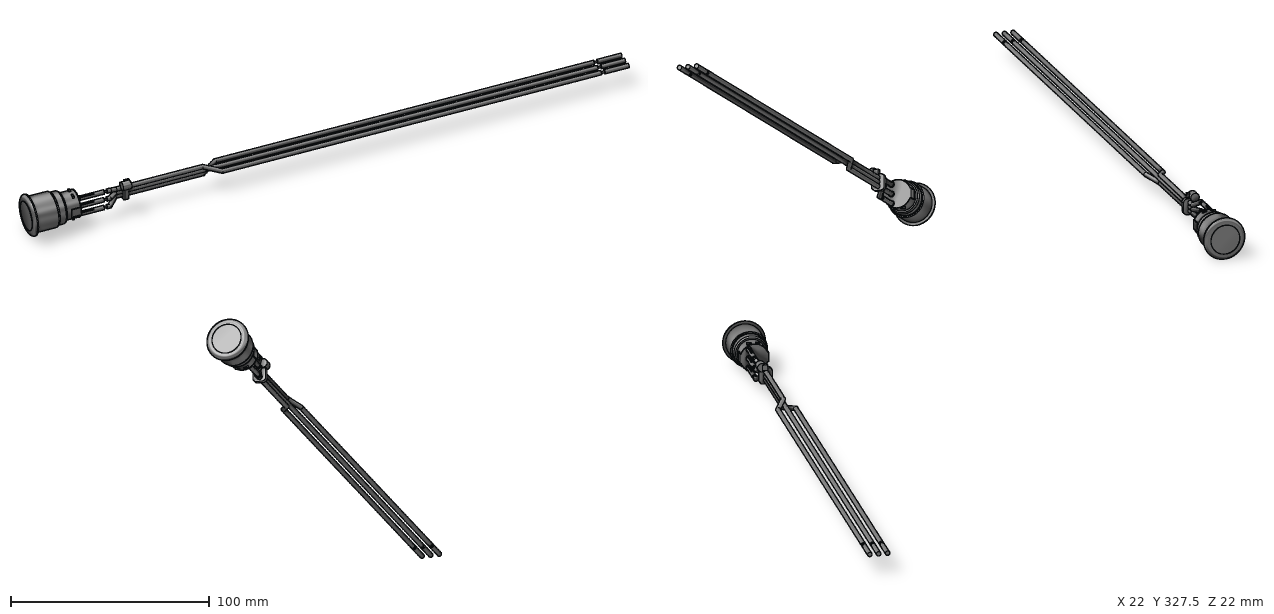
import cadquery as cq
import math

total_length = 327.5

flange_diameter = 22.0
flange_thickness = 2.3
bezel_diameter = 17.5
rim_width = 0.5
lens_diameter = 15.5
lens_height = 0.3
barrel_diameter = 19.0
barrel_end = 14.0
collar_diameter = 17.7
collar_end = 15.0
shoulder_diameter = 17.5
shoulder_end = 19.3
shoulder_bevel_length = 1.0
shoulder_bevel_depth = 0.5
rear_diameter = 14.5
lip_diameter = 14.7
lip_thickness = 0.3
rear_end = 27.2

tab_width = 5.0
tab_start = 22.0
tab_reach = 7.37
key_width = 2.3
key_length = 1.0
key_spacing = 4.5
key_y = 24.5
key_reach = 7.37

terminal_x = 3.0
terminal_pitch = 5.0
terminal_end = 41.3
boss_diameter = 3.0
boss_height = 0.5
groove_width = 1.0
groove_depth = 0.5
groove_end = 35.7

wire_diameter = 2.4
conductor_diameter = 1.1
insulation_start = 43.0
splay_start = 44.5
splay_end = 48.8
bundle_pitch = 2.2
fan_start = 96.5
fan_end = 105.5
fan_pitch = 4.5
strip_start = 312.5
strip_end = 314.5
conductor_overlap = 0.5

tie_y = 53.7
strap_width = 2.3
strap_size_x = 7.0
strap_size_z = 8.5
strap_corner = 2.0
head_diameter = 4.5
head_length = 4.5
head_x = 2.3
head_z = 5.0
tail_width = 2.5
tail_height = 3.0
tail_x = 0.5
tail_end = 56.3


def rod(diameter, start, end, x=0.0, z=0.0):
    """Round rod parallel to Y between two Y positions."""
    plane = cq.Plane(origin=(x, start, z), xDir=(1, 0, 0), normal=(0, 1, 0))
    return cq.Workplane(plane).circle(diameter / 2).extrude(end - start)


def block(size, center):
    """Box with its size and center given along X, Y and Z."""
    return cq.Workplane("XY").box(*size).translate(center)


def make_flange():
    """Flange with a rounded front rim around a slightly proud round lens."""
    outer = flange_diameter / 2
    inner = bezel_diameter / 2
    rim_start = flange_thickness - rim_width
    diagonal = math.sqrt(0.5)
    rim_drop = rim_start - lens_height
    arc_middle = (inner + diagonal * (outer - inner), rim_start - diagonal * rim_drop)
    profile = (
        cq.Workplane("XY")
        .moveTo(0, lens_height)
        .lineTo(inner, lens_height)
        .threePointArc(arc_middle, (outer, rim_start))
        .lineTo(outer, flange_thickness)
        .lineTo(0, flange_thickness)
        .close()
    )
    flange = profile.revolve(360, (0, 0, 0), (0, 1, 0))
    return flange.union(rod(lens_diameter, 0, flange_thickness))


def make_body():
    shoulder = rod(shoulder_diameter, collar_end, shoulder_end)
    shoulder = shoulder.faces(">Y").chamfer(shoulder_bevel_length, shoulder_bevel_depth)
    body = (
        make_flange()
        .union(rod(barrel_diameter, flange_thickness, barrel_end))
        .union(rod(collar_diameter, barrel_end, collar_end))
        .union(shoulder)
        .union(rod(rear_diameter, shoulder_end, rear_end))
        .union(rod(lip_diameter, rear_end - lip_thickness, rear_end))
    )
    tab_length = rear_end - tab_start
    tabs = block((2 * tab_reach, tab_length, tab_width), (0, tab_start + tab_length / 2, 0))
    body = body.union(tabs)
    for side in (-1, 1):
        keys = block((key_width, key_length, 2 * key_reach), (side * key_spacing / 2, key_y, 0))
        body = body.union(keys)
    return body


def make_terminal(z):
    """Round terminal on a low boss, grooved along its upper side near the body."""
    boss = rod(boss_diameter, rear_end, rear_end + boss_height, terminal_x, z)
    terminal = rod(wire_diameter, rear_end, terminal_end, terminal_x, z)
    groove_start = rear_end + boss_height
    groove_length = groove_end - groove_start
    groove = block(
        (groove_width, groove_length, 2 * groove_depth),
        (terminal_x, groove_start + groove_length / 2, z + wire_diameter / 2),
    )
    core = rod(conductor_diameter, terminal_end, splay_start, terminal_x, z)
    return terminal.cut(groove).union(boss).union(core)


def make_wire(level):
    """One wire; level -1, 0 or 1 is its place in the terminal row, the bundle and the fan."""
    terminal_z = level * terminal_pitch
    bundle_z = level * bundle_pitch
    fan_x = level * fan_pitch
    points = [
        (terminal_x, insulation_start, terminal_z),
        (terminal_x, splay_start, terminal_z),
        (0, splay_end, bundle_z),
        (0, fan_start, bundle_z),
        (fan_x, fan_end, 0),
        (fan_x, strip_start, 0),
    ]
    path = cq.Workplane("XY").polyline([cq.Vector(*point) for point in points])
    start = cq.Plane(origin=points[0], xDir=(1, 0, 0), normal=(0, 1, 0))
    insulation = cq.Workplane(start).circle(wire_diameter / 2).sweep(path, transition="right")
    conductor = rod(conductor_diameter, strip_start - conductor_overlap, total_length, fan_x)
    end_sleeve = rod(wire_diameter, strip_end, total_length, fan_x)
    return insulation.union(conductor).union(end_sleeve).union(make_terminal(terminal_z))


def make_tie():
    strap = block((strap_size_x, strap_width, strap_size_z), (0, tie_y, 0)).edges("|Y").fillet(strap_corner)
    head = rod(head_diameter, tie_y - head_length / 2, tie_y + head_length / 2, head_x, head_z)
    tail_length = tail_end - tie_y
    tail = block((tail_width, tail_length, tail_height), (tail_x, tie_y + tail_length / 2, head_z))
    return strap.union(head).union(tail)


result = make_body().union(make_tie())
for level in (-1, 0, 1):
    result = result.union(make_wire(level))